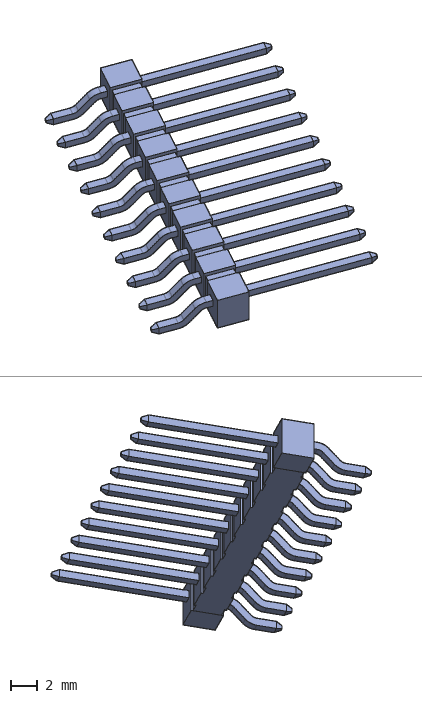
import cadquery as cq
import math

pin_count = 10
pitch = 2.55
row_length = pin_count * pitch
pin_positions = [(i + 0.5) * pitch - row_length / 2 for i in range(pin_count)]

block_depth = 2.55
block_height = 3.05
neck_length = 0.75
neck_side_step = 0.142
neck_top_step = 0.33
block_length = pitch - neck_length
end_block_length = pitch - neck_length / 2

pin_size = 0.64
pin_axis_height = 1.78
foot_axis_height = pin_size / 2
mating_length = 10.67
foot_reach = 4.83
tip_length = 0.5
tip_end_size = 0.25
mating_shoulder_y = block_depth / 2 + mating_length - tip_length
foot_shoulder_y = -block_depth / 2 - foot_reach + tip_length

bend_start_offset = 0.53
bend_start_y = -block_depth / 2 - bend_start_offset
bend_angle = math.radians(45)
bend_inner_radius = 0.64
bend_axis_radius = bend_inner_radius + pin_size / 2


def make_block(x_start, length):
    """Full-size plastic block that starts at x_start."""
    return (
        cq.Workplane("XY")
        .box(length, block_depth, block_height, centered=(False, True, False))
        .translate((x_start, 0, 0))
    )


def make_neck(x_center):
    """Reduced plastic section that links two blocks."""
    return (
        cq.Workplane("XY")
        .box(
            neck_length,
            block_depth - 2 * neck_side_step,
            block_height - neck_top_step,
            centered=(True, True, False),
        )
        .translate((x_center, 0, 0))
    )


def bend_run(angle):
    return bend_axis_radius * math.sin(angle)


def bend_drop(angle):
    return bend_axis_radius * (1 - math.cos(angle))


def make_pin_path():
    """Pin centre line from the mating shoulder to the foot shoulder."""
    ramp_drop = pin_axis_height - foot_axis_height - 2 * bend_drop(bend_angle)
    ramp_start_y = bend_start_y - bend_run(bend_angle)
    ramp_end_y = ramp_start_y - ramp_drop / math.tan(bend_angle)
    foot_start_y = ramp_end_y - bend_run(bend_angle)
    half_angle = bend_angle / 2
    return (
        cq.Workplane("YZ")
        .moveTo(mating_shoulder_y, pin_axis_height)
        .lineTo(bend_start_y, pin_axis_height)
        .threePointArc(
            (bend_start_y - bend_run(half_angle), pin_axis_height - bend_drop(half_angle)),
            (ramp_start_y, pin_axis_height - bend_drop(bend_angle)),
        )
        .lineTo(ramp_end_y, foot_axis_height + bend_drop(bend_angle))
        .threePointArc(
            (foot_start_y + bend_run(half_angle), foot_axis_height + bend_drop(half_angle)),
            (foot_start_y, foot_axis_height),
        )
        .lineTo(foot_shoulder_y, foot_axis_height)
    )


def section_plane(y, z, direction):
    """Plane across the pin that faces +Y (direction 1) or -Y (direction -1)."""
    return cq.Plane(origin=(0, y, z), xDir=(1, 0, 0), normal=(0, direction, 0))


def make_tip(y, z, direction):
    """Tapered pin end that points along direction from its shoulder."""
    return (
        cq.Workplane(section_plane(y, z, direction))
        .rect(pin_size, pin_size)
        .workplane(offset=tip_length)
        .rect(tip_end_size, tip_end_size)
        .loft(ruled=True)
    )


def make_pin(x):
    shaft = (
        cq.Workplane(section_plane(mating_shoulder_y, pin_axis_height, -1))
        .rect(pin_size, pin_size)
        .sweep(make_pin_path())
    )
    mating_tip = make_tip(mating_shoulder_y, pin_axis_height, 1)
    foot_tip = make_tip(foot_shoulder_y, foot_axis_height, -1)
    return shaft.union(mating_tip).union(foot_tip).translate((x, 0, 0))


def make_end_module(x_start, pin_x):
    """Outermost block of the row, in one piece with its pin."""
    return make_block(x_start, end_block_length).union(make_pin(pin_x))


def make_center_row():
    """All inner blocks and every neck, in one piece with the inner pins."""
    row = make_neck(pin_positions[0] + pitch / 2)
    for x in pin_positions[1:-1]:
        row = row.union(make_block(x - block_length / 2, block_length))
        row = row.union(make_neck(x + pitch / 2))
        row = row.union(make_pin(x))
    return row


end_modules = [
    make_end_module(x_start, pin_x)
    for x_start, pin_x in (
        (-row_length / 2, pin_positions[0]),
        (row_length / 2 - end_block_length, pin_positions[-1]),
    )
]
center_row = make_center_row()

result = cq.Compound.makeCompound([center_row.val(), *[module.val() for module in end_modules]])